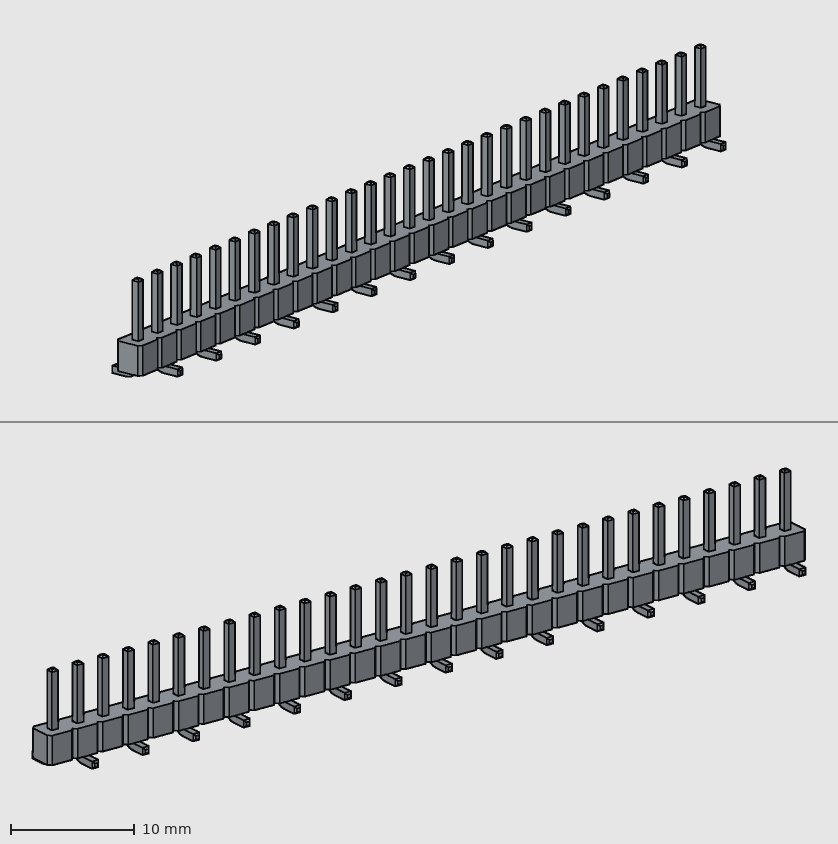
import cadquery as cq
import math

pin_count = 30
row_length = 76.2
overall_width = 5.0
overall_height = 8.5
pitch = row_length / pin_count

body_width = pitch
body_height = 2.6
corner_chamfer = 0.29

pin_size = 0.64
tip_chamfer = 0.16
bend_radius = 1.3

foot_clearance = 0.1
body_bottom = pin_size + foot_clearance


def make_block(y_center):
    """One insulator block with chamfered upright edges."""
    return (
        cq.Workplane("XY")
        .workplane(offset=body_bottom)
        .center(0, y_center)
        .rect(body_width, pitch)
        .extrude(body_height)
        .edges("|Z")
        .chamfer(corner_chamfer)
    )


def make_pin(y_center, side):
    """Square upright pin whose foot points to -X (side = -1) or +X (side = 1)."""
    post = (
        cq.Workplane("XY")
        .center(0, y_center)
        .rect(pin_size, pin_size)
        .extrude(overall_height)
        .faces(">Z")
        .chamfer(tip_chamfer)
    )

    heel_x = -side * pin_size / 2
    toe_x = side * overall_width / 2
    foot = (
        cq.Workplane("XY")
        .box(abs(toe_x - heel_x), pin_size, pin_size)
        .faces(">X" if side > 0 else "<X")
        .chamfer(tip_chamfer)
        .translate(((toe_x + heel_x) / 2, y_center, pin_size / 2))
    )

    arc_inset = bend_radius * (1 - math.sqrt(0.5))
    heel_waste = (
        cq.Workplane("XZ")
        .moveTo(heel_x, 0)
        .lineTo(heel_x + side * bend_radius, 0)
        .threePointArc((heel_x + side * arc_inset, arc_inset), (heel_x, bend_radius))
        .close()
        .extrude(pin_size / 2, both=True)
        .translate((0, y_center, 0))
    )
    return post.union(foot).cut(heel_waste)


result = cq.Workplane("XY")
for index in range(pin_count):
    y_center = (index + 0.5) * pitch - row_length / 2
    foot_side = -1 if index % 2 == 0 else 1
    result = result.union(make_block(y_center)).union(make_pin(y_center, foot_side))